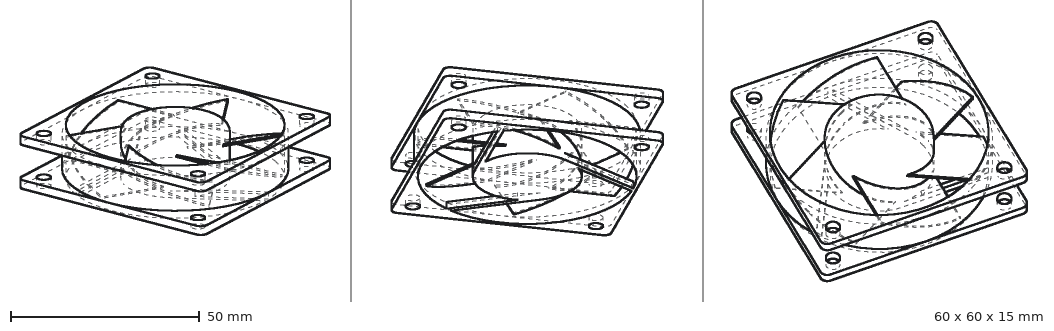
import cadquery as cq
import math

frame_side = 60
frame_height = 15
flange_thickness = 2.5
corner_radius = 2.0
duct_outer_radius = frame_side / 2
duct_inner_radius = 29.0
hole_spacing = 50.0
hole_diameter = 3.8

hub_radius = 14.45
hub_rim_radius = 2.0

blade_count = 6
blade_half_width = 11.5
blade_high_edge = 12.2
blade_low_edge = 3.1
blade_thickness = 0.5
wall_overlap = 0.3

stay_count = 3
stay_width = 1.5
stay_height = 2.0
stay_slant = 30
stay_offset = hub_radius - stay_width / 2


def make_flange(bottom):
    return (
        cq.Workplane("XY", origin=(0, 0, bottom))
        .rect(frame_side, frame_side)
        .extrude(flange_thickness)
        .edges("|Z")
        .fillet(corner_radius)
    )


def make_cylinder(radius, bottom, top):
    return cq.Workplane("XY", origin=(0, 0, bottom)).circle(radius).extrude(top - bottom)


def make_frame():
    frame = make_cylinder(duct_outer_radius, 0, frame_height)
    for bottom in (0, frame_height - flange_thickness):
        frame = frame.union(make_flange(bottom))
    holes = (
        cq.Workplane("XY")
        .rect(hole_spacing, hole_spacing, forConstruction=True)
        .vertices()
        .circle(hole_diameter / 2)
        .extrude(frame_height)
    )
    bore = make_cylinder(duct_inner_radius, 0, frame_height)
    return frame.cut(holes).cut(bore)


def make_hub():
    hub = make_cylinder(hub_radius, 0, frame_height)
    return hub.faces(">Z").edges().fillet(hub_rim_radius)


def make_airway():
    """Ring between hub and duct, reaching slightly into both walls."""
    outer = make_cylinder(duct_inner_radius + wall_overlap, 0, frame_height)
    inner = make_cylinder(hub_radius - wall_overlap, 0, frame_height)
    return outer.cut(inner)


def make_blade():
    """Blade along +X, highest on its -Y edge, ending inside the hub and duct walls."""
    tilt = math.atan2(blade_high_edge - blade_low_edge, 2 * blade_half_width)
    shift_y = -blade_thickness * math.sin(tilt)
    shift_z = -blade_thickness * math.cos(tilt)
    plate = (
        cq.Workplane("YZ")
        .moveTo(-blade_half_width, blade_high_edge)
        .lineTo(blade_half_width, blade_low_edge)
        .line(shift_y, shift_z)
        .lineTo(-blade_half_width + shift_y, blade_high_edge + shift_z)
        .close()
        .extrude(duct_outer_radius)
    )
    return plate.intersect(make_airway())


def make_stay():
    """Level bar that grazes the side of the hub and runs out to the duct near +X."""
    bar = (
        cq.Workplane("XY")
        .box(duct_outer_radius, stay_width, stay_height, centered=(False, True, False))
        .translate((0, -stay_offset, 0))
        .rotate((0, 0, 0), (0, 0, 1), stay_slant)
    )
    return bar.intersect(make_airway())


def add_around_axis(body, part, count):
    for index in range(count):
        angle = index * 360 / count
        body = body.union(part.rotate((0, 0, 0), (0, 0, 1), angle))
    return body


result = make_frame().union(make_hub())
result = add_around_axis(result, make_blade(), blade_count)
result = add_around_axis(result, make_stay(), stay_count)